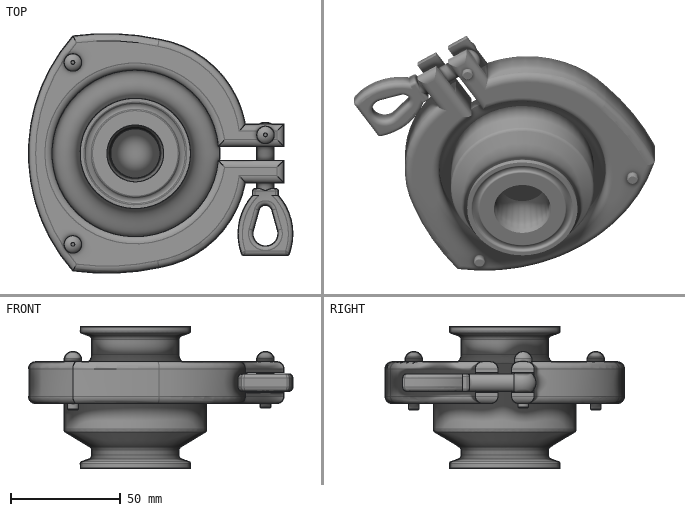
import cadquery as cq
import math


TOP_Z = 25.7
BOTTOM_Z = -39.3
FLANGE_RADIUS = 50.5 / 2
NECK_RADIUS = 40 / 2
RIM_DEPTH = 2.8
SLOPE_ANGLE = 20
RIM_ROUND = 1.0
NECK_ROUND = 1.8
SLOPE = math.tan(math.radians(SLOPE_ANGLE))
SLOPE_DROP = (FLANGE_RADIUS - NECK_RADIUS) * SLOPE
BORE_MOUTH_RADIUS = 26.0 / 2
BORE_FLOOR_RADIUS = 22.5 / 2
BORE_DEPTH = 24.2
GROOVE_CENTER_RADIUS = 21.6
GROOVE_RADIUS = 1.5
GROOVE_LIP_ROUND = 0.6

DISK_RADIUS = 38.8
DISK_HALF_THICKNESS = 2.9
BONNET_ROUND = 4.4
BONNET_TOP_Z = DISK_HALF_THICKNESS + (DISK_RADIUS - NECK_RADIUS) * SLOPE
BODY_RADIUS = 65.5 / 2
BODY_BOTTOM_Z = -22.3
BODY_ROUND = 1.8
LOWER_NECK_Z = -29.9

CLAMP_HALF_HEIGHT = 9.6
CLAMP_BORE_RADIUS = 38.2
CLAMP_ROUND = 3.3
CLAMP_LEFT_X = -49.0
CORNER = (-28.6, 53.8)
CREST = (-10.9, 54.9)
SIDE_JOINT = (10.9, 52.4)
SHOULDER = (34.8, 41.0)
ARM_ROOT_X = 50.4
ARM_END_X = 68.1
ARM_OUTER_Y = 13.5
ARM_INNER_Y = 3.2
SLOT_START_X = 51.2
SLOT_HALF_HEIGHT = 4.6

RIVET_HEAD_RADIUS = 8.0 / 2
RIVET_HEAD_HEIGHT = 4.6
RIVET_RIM_HEIGHT = 1.5
RIVET_DIMPLE_RADIUS = 0.8
RIVET_DIMPLE_DEPTH = 1.0
RIVET_SHANK_RADIUS = 5.0 / 2
RIVET_TIP_CHAMFER = 0.5
CORNER_RIVET = (-28.6, 41.7)
CORNER_RIVET_TAIL = 2.9
ARM_RIVET = (59.6, 8.5)
ARM_RIVET_TAIL = 2.0

BOLT_X = ARM_RIVET[0]
BOLT_RADIUS = 8.0 / 2
EYE_RADIUS = 5.8
EYE_HALF_HEIGHT = 4.5
HANDLE_THICKNESS = 8.1
HANDLE_TOP_Y = -16.1
HANDLE_NECK_Y = -19.3
HANDLE_BOTTOM_Y = -46.8
COLLAR_HALF_WIDTH = 5.9
HANDLE_SIDE = (11.4, -29.0)
HANDLE_BOTTOM_HALF_WIDTH = 10.7
HANDLE_CORNER_ROUND = 1.2
HANDLE_ROUND = 2.0
COLLAR_ROUND = 1.2
WINDOW_TOP = (-26.8, 3.0)
WINDOW_BOTTOM = (-36.7, 5.7)

EDGE_TOLERANCE = 0.1


def round_ring(solid, radius, z, blend):
    """Round the full-circle edge of the given radius at height z."""
    reach = radius + EDGE_TOLERANCE
    low_corner = (-reach, -reach, z - EDGE_TOLERANCE)
    high_corner = (reach, reach, z + EDGE_TOLERANCE)
    level_box = cq.selectors.BoxSelector(low_corner, high_corner, True)
    circles = solid.edges("%CIRCLE").edges(level_box)
    rings = circles.filter(lambda edge: abs(edge.radius() - radius) < EDGE_TOLERANCE)
    return solid.newObject(rings.objects).fillet(blend)


def make_ferrule_cuts():
    """Blind tapered bore and round gasket groove, cut down from a face at Z = 0."""
    bore = (
        cq.Workplane("XZ")
        .lineTo(BORE_MOUTH_RADIUS, 0)
        .lineTo(BORE_FLOOR_RADIUS, -BORE_DEPTH)
        .lineTo(0, -BORE_DEPTH)
        .close()
        .revolve(360, (0, 0), (0, 1))
    )
    lip_offset = math.sqrt((GROOVE_RADIUS + GROOVE_LIP_ROUND) ** 2 - GROOVE_LIP_ROUND**2)
    tangent_share = GROOVE_RADIUS / (GROOVE_RADIUS + GROOVE_LIP_ROUND)
    tangent_offset = lip_offset * tangent_share
    tangent_z = -GROOVE_LIP_ROUND * tangent_share
    groove = (
        cq.Workplane("XZ")
        .moveTo(GROOVE_CENTER_RADIUS - lip_offset, 0)
        .radiusArc((GROOVE_CENTER_RADIUS - tangent_offset, tangent_z), GROOVE_LIP_ROUND)
        .threePointArc(
            (GROOVE_CENTER_RADIUS, -GROOVE_RADIUS),
            (GROOVE_CENTER_RADIUS + tangent_offset, tangent_z),
        )
        .radiusArc((GROOVE_CENTER_RADIUS + lip_offset, 0), GROOVE_LIP_ROUND)
        .close()
        .revolve(360, (0, 0), (0, 1))
    )
    return bore.union(groove)


def make_body():
    """Turned valve body with a ferrule at each end."""
    profile = [
        (0, TOP_Z),
        (FLANGE_RADIUS, TOP_Z),
        (FLANGE_RADIUS, TOP_Z - RIM_DEPTH),
        (NECK_RADIUS, TOP_Z - RIM_DEPTH - SLOPE_DROP),
        (NECK_RADIUS, BONNET_TOP_Z),
        (DISK_RADIUS, DISK_HALF_THICKNESS),
        (DISK_RADIUS, -DISK_HALF_THICKNESS),
        (BODY_RADIUS, -DISK_HALF_THICKNESS),
        (BODY_RADIUS, BODY_BOTTOM_Z),
        (NECK_RADIUS, LOWER_NECK_Z),
        (NECK_RADIUS, BOTTOM_Z + RIM_DEPTH + SLOPE_DROP),
        (FLANGE_RADIUS, BOTTOM_Z + RIM_DEPTH),
        (FLANGE_RADIUS, BOTTOM_Z),
        (0, BOTTOM_Z),
    ]
    body = cq.Workplane("XZ").polyline(profile).close().revolve(360, (0, 0), (0, 1))
    body = round_ring(body, NECK_RADIUS, BONNET_TOP_Z, BONNET_ROUND)
    body = round_ring(body, BODY_RADIUS, BODY_BOTTOM_Z, BODY_ROUND)
    body = round_ring(body, NECK_RADIUS, LOWER_NECK_Z, BODY_ROUND)
    for face_z, inward in ((TOP_Z, -1), (BOTTOM_Z, 1)):
        body = round_ring(body, FLANGE_RADIUS, face_z + inward * RIM_DEPTH, RIM_ROUND)
        body = round_ring(body, NECK_RADIUS, face_z + inward * (RIM_DEPTH + SLOPE_DROP), NECK_ROUND)
    cuts = make_ferrule_cuts()
    body = body.cut(cuts.translate((0, 0, TOP_Z)))
    return body.cut(cuts.mirror("XY").translate((0, 0, BOTTOM_Z)))


def mirrored(point):
    """Reflect an outline point across the X axis."""
    return point[0], -point[1]


def make_clamp():
    """Three-lobed clamp with two slotted arms, rounded on its top and bottom faces."""
    bore_end_x = math.sqrt(CLAMP_BORE_RADIUS**2 - ARM_INNER_Y**2)
    clamp = (
        cq.Workplane("XY")
        .moveTo(ARM_END_X, ARM_INNER_Y)
        .lineTo(ARM_END_X, ARM_OUTER_Y)
        .lineTo(ARM_ROOT_X, ARM_OUTER_Y)
        .threePointArc(SHOULDER, SIDE_JOINT)
        .threePointArc(CREST, CORNER)
        .threePointArc((CLAMP_LEFT_X, 0), mirrored(CORNER))
        .threePointArc(mirrored(CREST), mirrored(SIDE_JOINT))
        .threePointArc(mirrored(SHOULDER), (ARM_ROOT_X, -ARM_OUTER_Y))
        .lineTo(ARM_END_X, -ARM_OUTER_Y)
        .lineTo(ARM_END_X, -ARM_INNER_Y)
        .lineTo(bore_end_x, -ARM_INNER_Y)
        .threePointArc((-CLAMP_BORE_RADIUS, 0), (bore_end_x, ARM_INNER_Y))
        .close()
        .extrude(CLAMP_HALF_HEIGHT, both=True)
        .faces("|Z")
        .edges()
        .fillet(CLAMP_ROUND)
    )
    slot_length = ARM_END_X - SLOT_START_X
    slot = cq.Workplane("XY").box(slot_length, 2 * ARM_OUTER_Y, 2 * SLOT_HALF_HEIGHT)
    return clamp.cut(slot.translate((SLOT_START_X + slot_length / 2, 0, 0)))


def make_rivet(center, tail):
    """Domed rivet through the clamp, its tail standing out below."""
    rim_z = CLAMP_HALF_HEIGHT + RIVET_RIM_HEIGHT
    head_top = CLAMP_HALF_HEIGHT + RIVET_HEAD_HEIGHT
    tip_z = -CLAMP_HALF_HEIGHT - tail
    radius_term = (RIVET_HEAD_RADIUS**2 - RIVET_DIMPLE_RADIUS**2) / (head_top - rim_z)
    dome_center_z = (head_top + rim_z - radius_term) / 2
    dome_radius = math.hypot(RIVET_HEAD_RADIUS, rim_z - dome_center_z)
    diagonal = dome_radius / math.sqrt(2)
    dome_side = (diagonal, dome_center_z + diagonal)
    rim_base_z = CLAMP_HALF_HEIGHT - CLAMP_ROUND
    rivet = (
        cq.Workplane("XZ")
        .moveTo(0, tip_z)
        .lineTo(RIVET_SHANK_RADIUS - RIVET_TIP_CHAMFER, tip_z)
        .lineTo(RIVET_SHANK_RADIUS, tip_z + RIVET_TIP_CHAMFER)
        .lineTo(RIVET_SHANK_RADIUS, rim_base_z)
        .lineTo(RIVET_HEAD_RADIUS, rim_base_z)
        .lineTo(RIVET_HEAD_RADIUS, rim_z)
        .threePointArc(dome_side, (RIVET_DIMPLE_RADIUS, head_top))
        .lineTo(RIVET_DIMPLE_RADIUS, head_top - RIVET_DIMPLE_DEPTH)
        .lineTo(0, head_top - RIVET_DIMPLE_DEPTH)
        .close()
        .revolve(360, (0, 0), (0, 1))
    )
    return rivet.translate((*center, 0))


def make_bolt():
    """Swing bolt along Y with a flattened ball eye around the arm rivet."""
    shank_length = ARM_RIVET[1] - HANDLE_NECK_Y
    shank = (
        cq.Workplane("XZ", origin=(BOLT_X, ARM_RIVET[1], 0))
        .circle(BOLT_RADIUS)
        .extrude(shank_length)
    )
    slab = cq.Workplane("XY").box(2 * EYE_RADIUS, 2 * EYE_RADIUS, 2 * EYE_HALF_HEIGHT)
    eye = cq.Workplane("XY").sphere(EYE_RADIUS).intersect(slab)
    return shank.union(eye.translate((*ARM_RIVET, 0)))


def make_window():
    """Teardrop opening: two circles of the handle joined by their common tangents."""
    top_y, top_radius = WINDOW_TOP
    bottom_y, bottom_radius = WINDOW_BOTTOM
    lean = math.asin((bottom_radius - top_radius) / (top_y - bottom_y))
    side, rise = math.cos(lean), math.sin(lean)
    top_x, top_tangent_y = top_radius * side, top_y + top_radius * rise
    bottom_x, bottom_tangent_y = bottom_radius * side, bottom_y + bottom_radius * rise
    return (
        cq.Workplane("XY")
        .moveTo(top_x, top_tangent_y)
        .threePointArc((0, top_y + top_radius), (-top_x, top_tangent_y))
        .lineTo(-bottom_x, bottom_tangent_y)
        .threePointArc((0, bottom_y - bottom_radius), (bottom_x, bottom_tangent_y))
        .close()
        .extrude(HANDLE_THICKNESS / 2, both=True)
    )


def make_handle():
    """Egg-shaped handle with a collar at the bolt and a teardrop opening."""
    side_x, side_y = HANDLE_SIDE
    loop = (
        cq.Workplane("XY")
        .moveTo(COLLAR_HALF_WIDTH, HANDLE_NECK_Y)
        .threePointArc((side_x, side_y), (HANDLE_BOTTOM_HALF_WIDTH, HANDLE_BOTTOM_Y))
        .lineTo(-HANDLE_BOTTOM_HALF_WIDTH, HANDLE_BOTTOM_Y)
        .threePointArc((-side_x, side_y), (-COLLAR_HALF_WIDTH, HANDLE_NECK_Y))
        .close()
        .extrude(HANDLE_THICKNESS / 2, both=True)
        .edges("|Z and <Y")
        .fillet(HANDLE_CORNER_ROUND)
        .cut(make_window())
        .faces("|Z")
        .edges("not >Y")
        .fillet(HANDLE_ROUND)
    )
    collar_length = HANDLE_TOP_Y - HANDLE_NECK_Y
    collar = (
        cq.Workplane("XY")
        .box(2 * COLLAR_HALF_WIDTH, collar_length, HANDLE_THICKNESS)
        .edges(">Y or |Y")
        .fillet(COLLAR_ROUND)
        .translate((0, HANDLE_NECK_Y + collar_length / 2, 0))
    )
    return loop.union(collar).translate((BOLT_X, 0, 0))


result = make_body().union(make_clamp()).union(make_bolt()).union(make_handle())
for rivet_center in (CORNER_RIVET, mirrored(CORNER_RIVET)):
    result = result.union(make_rivet(rivet_center, CORNER_RIVET_TAIL))
result = result.union(make_rivet(ARM_RIVET, ARM_RIVET_TAIL))